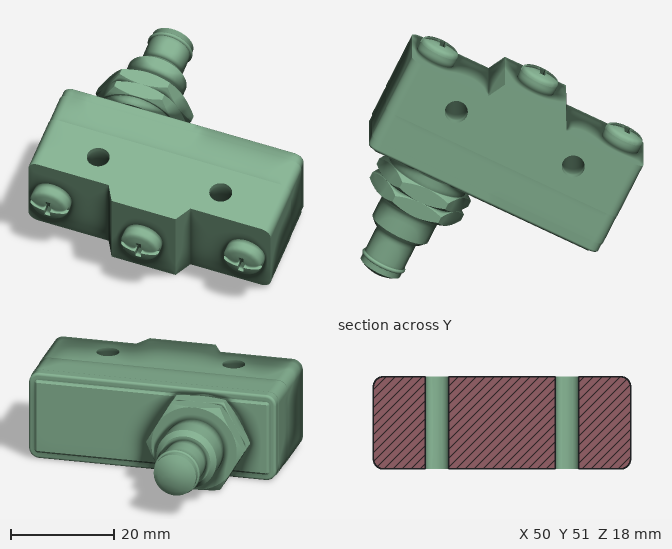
import cadquery as cq
import math


base_width, base_thick, base_top = 50.0, 18.0, 11.45
body_width, body_thick, body_top = 49.85, 17.8, 17.7
cap_width, cap_thick, cap_top = 49.55, 17.75, 19.85
case_corner = 2.05
cap_fillet = 0.5
plate_width, plate_thick, plate_height = 47.1, 15.15, 0.5
plate_corner, plate_bevel = 0.6, 0.45
plate_top = cap_top + plate_height

boss_height = 3.4
boss_root_width, boss_tip_width = 16.85, 13.2

hole_diameter, hole_spacing, hole_y = 4.45, 25.25, 5.65

screw_spacing = 19.95
screw_radius, screw_rim, screw_height = 3.95, 1.8, 3.25
screw_shoulder_radius, screw_shoulder = 2.95, 2.85
slot_width, slot_depth = 1.25, 1.7
recess_width, recess_length, recess_depth = 1.2, 4.15, 2.3

plunger_x = -10.75
collar_radius, collar_top = 8.2, 22.35
nut_across_flats, nut_height, nut_count = 17.1, 3.1, 2
nut_chamfer_height = 0.9
nuts_top = collar_top + nut_count * nut_height
barrel_radius, barrel_top, barrel_chamfer = 6.05, 35.25, 0.95
plunger_radius, plunger_shoulder, plunger_tip = 4.25, 43.15, 44.4
ring_y, ring_centre_radius, ring_section = 41.55, 4.2, 0.4


def block(width, thick, corner, y_start, y_end):
    """Rounded rectangular block between two Y levels."""
    outline = cq.Workplane("XZ", origin=(0, y_start, 0)).rect(width, thick)
    return outline.extrude(y_start - y_end).edges("|Y").fillet(corner)


def cylinder(radius, y_start, y_end):
    """Cylinder about the plunger axis between two Y levels."""
    circle = cq.Workplane("XZ", origin=(plunger_x, y_start, 0)).circle(radius)
    return circle.extrude(y_start - y_end)


def spin(profile):
    """Revolve a closed (radius, y) profile about the Y axis."""
    return profile.close().revolve(360, (0, 0, 0), (0, 1, 0))


def make_case():
    base = block(base_width, base_thick, case_corner, 0, base_top)
    body = block(body_width, body_thick, case_corner, base_top, body_top)
    cap = block(cap_width, cap_thick, case_corner, body_top, cap_top)
    cap = cap.faces(">Y").edges().fillet(cap_fillet)
    boss_outline = [
        (-boss_root_width / 2, 0),
        (-boss_tip_width / 2, -boss_height),
        (boss_tip_width / 2, -boss_height),
        (boss_root_width / 2, 0),
    ]
    boss = cq.Workplane("XY").polyline(boss_outline).close().extrude(base_thick / 2, both=True)
    holes = (
        cq.Workplane("XY")
        .pushPoints([(-hole_spacing / 2, hole_y), (hole_spacing / 2, hole_y)])
        .circle(hole_diameter / 2)
        .extrude(base_thick, both=True)
    )
    return base.union(body).union(cap).union(boss).cut(holes)


def make_plate():
    """Bevelled plate; the foot of the collar fills the bevel, trimmed to the plate outline."""
    slab = block(plate_width, plate_thick, plate_corner, cap_top, plate_top)
    collar_foot = cylinder(collar_radius, cap_top, plate_top).intersect(slab)
    return slab.faces(">Y").edges().chamfer(plate_bevel).union(collar_foot)


def make_screw():
    """Domed screw head on y = 0 pointing -Y, with a full slot and a deeper cross recess."""
    head = spin(
        cq.Workplane("XY")
        .lineTo(screw_radius, 0)
        .lineTo(screw_radius, -screw_rim)
        .spline(
            [(screw_shoulder_radius, -screw_shoulder), (0, -screw_height)],
            tangents=[(0, -1), (-1, 0)],
            includeCurrent=True,
        )
    )
    slot = cq.Workplane("XY").box(3 * screw_radius, 2 * slot_depth, slot_width)
    recess = cq.Workplane("XY").box(recess_width, 2 * recess_depth, recess_length)
    return head.cut(slot.union(recess).translate((0, -screw_height, 0)))


def make_nut(y_start):
    """Hexagon nut with corners on +-X and both faces chamfered to the across-flats circle."""
    flat_radius = nut_across_flats / 2
    corner_radius = flat_radius / math.cos(math.pi / 6)
    hexagon = cq.Workplane("XZ").polygon(6, 2 * corner_radius).extrude(-nut_height)
    envelope = spin(
        cq.Workplane("XY")
        .lineTo(flat_radius, 0)
        .lineTo(corner_radius, nut_chamfer_height)
        .lineTo(corner_radius, nut_height - nut_chamfer_height)
        .lineTo(flat_radius, nut_height)
        .lineTo(0, nut_height)
    )
    return hexagon.intersect(envelope).translate((plunger_x, y_start, 0))


def make_plunger():
    collar = cylinder(collar_radius, plate_top, collar_top)
    barrel = cylinder(barrel_radius, nuts_top, barrel_top).faces(">Y").edges().chamfer(barrel_chamfer)
    dome_rise = plunger_tip - plunger_shoulder
    dome_radius = (plunger_radius**2 + dome_rise**2) / (2 * dome_rise)
    button = spin(
        cq.Workplane("XY")
        .moveTo(0, barrel_top)
        .lineTo(plunger_radius, barrel_top)
        .lineTo(plunger_radius, plunger_shoulder)
        .radiusArc((0, plunger_tip), -dome_radius)
    )
    snap_ring = (
        cq.Workplane("XY")
        .center(ring_centre_radius, ring_y)
        .circle(ring_section)
        .revolve(360, (-ring_centre_radius, 0, 0), (-ring_centre_radius, 1, 0))
    )
    button = button.union(snap_ring).translate((plunger_x, 0, 0))
    return collar.union(barrel).union(button)


result = make_case().union(make_plate()).union(make_plunger())
for nut_index in range(nut_count):
    result = result.union(make_nut(collar_top + nut_index * nut_height))

screw = make_screw()
for screw_x, seat_y in [(-screw_spacing, 0), (0, -boss_height), (screw_spacing, 0)]:
    result = result.union(screw.translate((screw_x, seat_y, 0)))